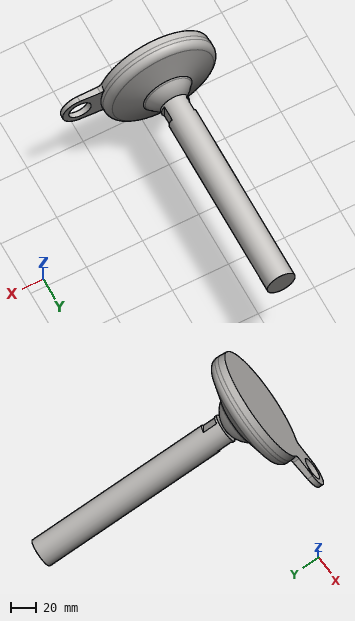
import cadquery as cq
import math

total_length = 215.0

foot_radius = 49.99
sole_radius = 49.5
taper_height = 6.0
shoulder_start = 9.2
shoulder_radius = 7.0
cone_angle = math.radians(19)
neck_radius = 21.7

dome_radius = 25.4
dome_top = 35.7
dome_edge_radius = 20.6

stud_radius = 12.5
stud_start = 35.0
flat_start = 37.0
flat_end = 49.7
across_flats = 19.5

tongue_radius = 15.0
tongue_reach = 83.1
tongue_hole_radius = 9.7
tongue_root_fillet = 4.3
tongue_root_x = 46.2
tongue_root_height = 6.0
tongue_tip_height = 4.0


def make_foot():
    """Revolve the tapered rim, rounded shoulder, cone and dome."""
    arc_center_radius = foot_radius - shoulder_radius
    arc_end_angle = math.pi / 2 - cone_angle

    def shoulder_point(angle):
        return (
            arc_center_radius + shoulder_radius * math.cos(angle),
            shoulder_start + shoulder_radius * math.sin(angle),
        )

    cone_start = shoulder_point(arc_end_angle)
    neck_height = cone_start[1] + (cone_start[0] - neck_radius) * math.tan(cone_angle)
    dome_center = dome_top - dome_radius
    dome_edge_angle = math.acos(dome_edge_radius / dome_radius)

    def dome_point(angle):
        return (dome_radius * math.cos(angle), dome_center + dome_radius * math.sin(angle))

    return (
        cq.Workplane("XY")
        .lineTo(sole_radius, 0)
        .lineTo(foot_radius, taper_height)
        .lineTo(foot_radius, shoulder_start)
        .threePointArc(shoulder_point(arc_end_angle / 2), cone_start)
        .lineTo(neck_radius, neck_height)
        .lineTo(*dome_point(dome_edge_angle))
        .threePointArc(dome_point((dome_edge_angle + math.pi / 2) / 2), (0, dome_top))
        .close()
        .revolve(360, (0, 0, 0), (0, 1, 0))
    )


def make_stud():
    """Plain cylinder with a pair of flats facing -X and +X."""
    stud = (
        cq.Workplane("XZ", origin=(0, stud_start, 0))
        .circle(stud_radius)
        .extrude(stud_start - total_length)
    )
    flat_length = flat_end - flat_start
    for side in (-1, 1):
        cutter = cq.Workplane("XY").box(stud_radius, flat_length, 2 * stud_radius)
        offset = side * (across_flats + stud_radius) / 2
        stud = stud.cut(cutter.translate((offset, flat_start + flat_length / 2, 0)))
    return stud


def make_tongue():
    """Rounded, pierced tongue with fillets at its root and a sloping upper face."""
    eye_x = tongue_reach - tongue_radius
    fillet_z = tongue_radius + tongue_root_fillet
    fillet_distance = sole_radius + tongue_root_fillet
    fillet_x = math.sqrt(fillet_distance**2 - fillet_z**2)
    contact_x = fillet_x * sole_radius / fillet_distance
    contact_z = fillet_z * sole_radius / fillet_distance
    middle_angle = (math.atan2(fillet_z, fillet_x) + math.pi / 2) / 2
    middle_x = fillet_x - tongue_root_fillet * math.cos(middle_angle)
    middle_z = fillet_z - tongue_root_fillet * math.sin(middle_angle)

    plan = (
        cq.Workplane("XZ")
        .moveTo(0, 0)
        .lineTo(contact_x, contact_z)
        .threePointArc((middle_x, middle_z), (fillet_x, tongue_radius))
        .lineTo(eye_x, tongue_radius)
        .threePointArc((tongue_reach, 0), (eye_x, -tongue_radius))
        .lineTo(fillet_x, -tongue_radius)
        .threePointArc((middle_x, -middle_z), (contact_x, -contact_z))
        .close()
        .extrude(-tongue_root_height)
    )
    side_profile = (
        cq.Workplane("XY")
        .lineTo(tongue_reach, 0)
        .lineTo(tongue_reach, tongue_tip_height)
        .lineTo(tongue_root_x, tongue_root_height)
        .lineTo(0, tongue_root_height)
        .close()
        .extrude(foot_radius, both=True)
    )
    hole = (
        cq.Workplane("XZ")
        .center(eye_x, 0)
        .circle(tongue_hole_radius)
        .extrude(-tongue_root_height)
    )
    return plan.intersect(side_profile).cut(hole)


result = make_foot().union(make_stud()).union(make_tongue())